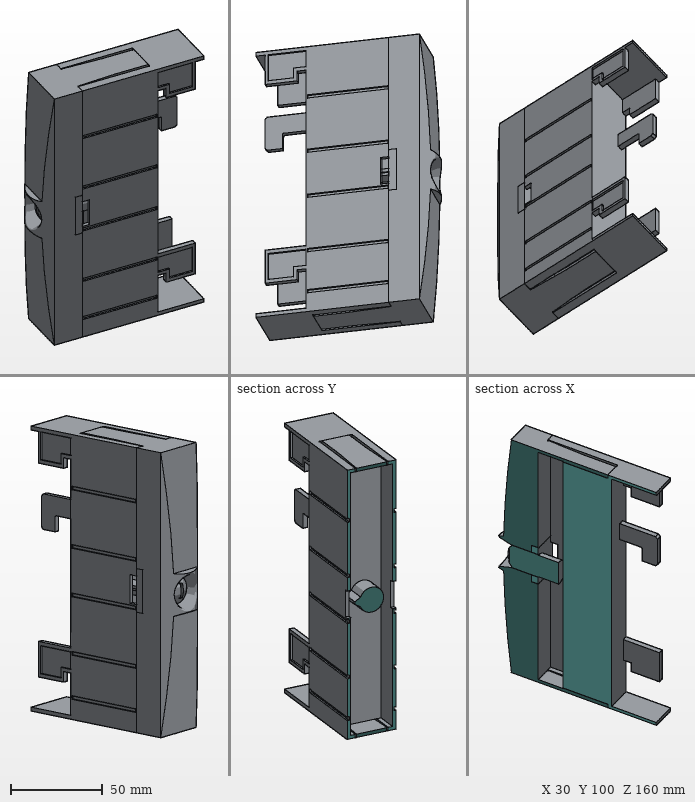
import cadquery as cq
import math


WIDTH = 30.0
HEIGHT = 160.0
TOTAL_DEPTH = 100.0
REAR_Y = 74.7
TIP_Y = REAR_Y - TOTAL_DEPTH
HALF_WIDTH = WIDTH / 2
HALF_HEIGHT = HEIGHT / 2

WALL = 2.2
BACK_Y = 46.5
CAVITY_DEPTH = 15.4
SLOT_WIDTH = 20.2
SLOT_LENGTH = 44.0
GROOVE_START_Y = 0.5
GROOVE_END_Y = 45.8
GROOVE_HEIGHT = 2.0
GROOVE_DEPTH = 1.1
GROOVE_CENTRES_Z = [50.0, 17.1, -10.0, -42.9, -67.7]
WINDOW_LENGTH = 4.5
WINDOW_HEIGHT = 16.0

HOOK_TOPS_Z = [HALF_HEIGHT, -40.0]
HOOK_REACH_Y = 69.5
HOOK_STEP_Y = 51.5
HOOK_HEIGHT = 20.0
HOOK_NECK_HEIGHT = 14.0
HOOK_THICKNESS = 3.0
HOOK_BORDER = 2.0
HOOK_REAR_BORDER = 1.6
HOOK_RECESS_DEPTH = 1.1

FOOT_OUTER_X = -11.2
FOOT_THICKNESS = 3.0
FOOT_TOP_Z = 42.0
FOOT_BOTTOM_Z = 22.0
FOOT_NECK_Z = 31.2
FOOT_REACH_Y = 70.5
FOOT_STEP_Y = 60.8
FOOT_CHAMFER = 1.3
FOOT_INNER_RADIUS = 0.8

COVER_EDGE_Y = -17.3
FLAT_MIDDLE_Y = -20.6
FLAT_MIDDLE_Z = 45.6
FLAT_END_Y = -22.2
FLAT_END_Z = 12.0
BAND_TIP_Z = 11.0
TONGUE_TIP_WIDTH = 16.8
TONGUE_ROOT_WIDTH = 19.2
TONGUE_STRAIGHT_Y = 24.0

SCREW_DIAMETER = 15.0
SCREW_END_Y = 12.8
HEAD_RIM_Y = -16.8
DOME_HEIGHT = 3.2
DRIVE_SLOT_WIDTH = 2.0
DRIVE_SLOT_LENGTH = 8.3
DRIVE_SLOT_DEPTH = 1.6
LUG_START_Y = 1.1
LUG_BASE_HEIGHT = 6.0
LUG_TIP_HEIGHT = 1.6
LUG_REACH = 10.4
FUNNEL_DIAMETER = 20.0
FUNNEL_EDGE_RADIUS = 1.0

RETAINER_THICKNESS = 4.3
RETAINER_HEIGHT = 24.5


def block(x0, x1, y0, y1, z0, z1):
    """Box between two opposite corners."""
    return cq.Workplane("XY").box(x1 - x0, y1 - y0, z1 - z0, centered=False).translate((x0, y0, z0))


def centred_block(width, y0, y1, height):
    """Box centred on X and Z."""
    return block(-width / 2, width / 2, y0, y1, -height / 2, height / 2)


def y_cylinder(diameter, y0, y1):
    """Cylinder on the screw axis."""
    return cq.Workplane("XZ", origin=(0, y0, 0)).circle(diameter / 2).extrude(y0 - y1)


def side_plate(points, x0, thickness):
    """Plate with a (Y, Z) outline that runs from x0 towards +X."""
    return cq.Workplane("YZ", origin=(x0, 0, 0)).polyline(points).close().extrude(thickness)


def hook(top_z):
    """Hook on the -X side, with the recess in its outer face."""
    bottom_z = top_z - HOOK_HEIGHT
    neck_z = top_z - HOOK_NECK_HEIGHT
    outline = [
        (BACK_Y, top_z),
        (HOOK_REACH_Y, top_z),
        (HOOK_REACH_Y, bottom_z),
        (HOOK_STEP_Y, bottom_z),
        (HOOK_STEP_Y, neck_z),
        (BACK_Y, neck_z),
    ]
    recess_rear_y = HOOK_REACH_Y - HOOK_REAR_BORDER
    recess_step_y = HOOK_STEP_Y + HOOK_BORDER
    recess_outline = [
        (BACK_Y, top_z - WALL),
        (recess_rear_y, top_z - WALL),
        (recess_rear_y, bottom_z + HOOK_BORDER),
        (recess_step_y, bottom_z + HOOK_BORDER),
        (recess_step_y, neck_z + HOOK_BORDER),
        (BACK_Y, neck_z + HOOK_BORDER),
    ]
    plate = side_plate(outline, -HALF_WIDTH, HOOK_THICKNESS)
    return plate.cut(side_plate(recess_outline, -HALF_WIDTH, HOOK_RECESS_DEPTH))


def make_housing():
    body = centred_block(WIDTH, 0, REAR_Y, HEIGHT)
    body = body.cut(centred_block(WIDTH, BACK_Y, REAR_Y, HEIGHT - 2 * WALL))
    body = body.cut(centred_block(WIDTH - 2 * WALL, 0, CAVITY_DEPTH, HEIGHT - 2 * WALL))
    for z0 in (HALF_HEIGHT - WALL, -HALF_HEIGHT):
        body = body.cut(block(-SLOT_WIDTH / 2, SLOT_WIDTH / 2, 0, SLOT_LENGTH, z0, z0 + WALL))
    for top_z in HOOK_TOPS_Z:
        left_hook = hook(top_z)
        body = body.union(left_hook).union(left_hook.mirror("YZ"))
    for z in GROOVE_CENTRES_Z:
        groove = block(
            -HALF_WIDTH, GROOVE_DEPTH - HALF_WIDTH,
            GROOVE_START_Y, GROOVE_END_Y,
            z - GROOVE_HEIGHT / 2, z + GROOVE_HEIGHT / 2,
        )
        body = body.cut(groove).cut(groove.mirror("YZ"))
    return body.cut(centred_block(WIDTH, 0, WINDOW_LENGTH, WINDOW_HEIGHT))


def make_foot():
    outline = [
        (BACK_Y, FOOT_TOP_Z),
        (FOOT_REACH_Y, FOOT_TOP_Z),
        (FOOT_REACH_Y, FOOT_BOTTOM_Z),
        (FOOT_STEP_Y, FOOT_BOTTOM_Z),
        (FOOT_STEP_Y, FOOT_NECK_Z),
        (BACK_Y, FOOT_NECK_Z),
    ]
    foot = side_plate(outline, FOOT_OUTER_X, FOOT_THICKNESS)
    foot = foot.faces(">Y").edges("|X").chamfer(FOOT_CHAMFER)
    inner_corner = cq.selectors.NearestToPointSelector((FOOT_OUTER_X, FOOT_STEP_Y, FOOT_NECK_Z))
    return foot.edges("|X").edges(inner_corner).fillet(FOOT_INNER_RADIUS)


def rounded_bar():
    """Bar along Z with the rounded front of the cover."""
    return (
        cq.Workplane("XY", origin=(0, 0, -HALF_HEIGHT))
        .moveTo(-HALF_WIDTH, 0)
        .lineTo(-HALF_WIDTH, COVER_EDGE_Y)
        .threePointArc((0, TIP_Y), (HALF_WIDTH, COVER_EDGE_Y))
        .lineTo(HALF_WIDTH, 0)
        .close()
        .extrude(HEIGHT)
    )


def tongue():
    """Tongue at the top of the cover, tapering from its root to a straight tip."""
    tip = TONGUE_TIP_WIDTH / 2
    root = TONGUE_ROOT_WIDTH / 2
    outline = [
        (-root, 0),
        (-tip, TONGUE_STRAIGHT_Y),
        (-tip, SLOT_LENGTH),
        (tip, SLOT_LENGTH),
        (tip, TONGUE_STRAIGHT_Y),
        (root, 0),
    ]
    base_z = HALF_HEIGHT - WALL
    return cq.Workplane("XY", origin=(0, 0, base_z)).polyline(outline).close().extrude(WALL)


def funnel():
    """Cone around the screw head, widening to the funnel diameter at the tip."""
    return (
        cq.Workplane("XZ", origin=(0, HEAD_RIM_Y, 0))
        .circle(SCREW_DIAMETER / 2)
        .workplane(offset=HEAD_RIM_Y - TIP_Y)
        .circle(FUNNEL_DIAMETER / 2)
        .loft()
    )


def make_cover():
    side_profile = (
        cq.Workplane("YZ", origin=(-HALF_WIDTH, 0, 0))
        .moveTo(0, -HALF_HEIGHT)
        .lineTo(COVER_EDGE_Y, -HALF_HEIGHT)
        .threePointArc((FLAT_MIDDLE_Y, -FLAT_MIDDLE_Z), (FLAT_END_Y, -FLAT_END_Z))
        .lineTo(TIP_Y, -BAND_TIP_Z)
        .lineTo(TIP_Y, BAND_TIP_Z)
        .lineTo(FLAT_END_Y, FLAT_END_Z)
        .threePointArc((FLAT_MIDDLE_Y, FLAT_MIDDLE_Z), (COVER_EDGE_Y, HALF_HEIGHT))
        .lineTo(0, HALF_HEIGHT)
        .close()
        .extrude(WIDTH)
    )
    cover = rounded_bar().intersect(side_profile)
    cover = cover.cut(funnel())
    mouth = cq.selectors.BoxSelector(
        (-HALF_WIDTH, TIP_Y, -FUNNEL_DIAMETER / 2),
        (HALF_WIDTH, COVER_EDGE_Y, FUNNEL_DIAMETER / 2),
    )
    cover = cover.edges(mouth).edges("not %LINE").fillet(FUNNEL_EDGE_RADIUS)
    cover = cover.cut(y_cylinder(SCREW_DIAMETER, HEAD_RIM_Y, 0))
    cover = cover.cut(centred_block(WIDTH, -RETAINER_THICKNESS, 0, RETAINER_HEIGHT))
    top_tongue = tongue()
    return cover.union(top_tongue).union(top_tongue.mirror("XY"))


def make_retainer():
    plate = centred_block(WIDTH, -RETAINER_THICKNESS, 0, RETAINER_HEIGHT)
    return plate.cut(y_cylinder(SCREW_DIAMETER, -RETAINER_THICKNESS, 0))


def make_screw():
    radius = SCREW_DIAMETER / 2
    apex_y = HEAD_RIM_Y - DOME_HEIGHT
    dome_radius = (radius**2 + DOME_HEIGHT**2) / (2 * DOME_HEIGHT)
    half_angle = math.asin(radius / dome_radius) / 2
    dome_middle_x = dome_radius * math.sin(half_angle)
    dome_middle_y = apex_y + dome_radius * (1 - math.cos(half_angle))
    screw = (
        cq.Workplane("XY")
        .moveTo(0, SCREW_END_Y)
        .lineTo(radius, SCREW_END_Y)
        .lineTo(radius, HEAD_RIM_Y)
        .threePointArc((dome_middle_x, dome_middle_y), (0, apex_y))
        .close()
        .revolve(360, (0, 0, 0), (0, 1, 0))
    )
    slot_floor_y = apex_y + DRIVE_SLOT_DEPTH
    screw = screw.cut(centred_block(DRIVE_SLOT_WIDTH, apex_y, slot_floor_y, DRIVE_SLOT_LENGTH))
    base = LUG_BASE_HEIGHT / 2
    tip = LUG_TIP_HEIGHT / 2
    base_x = -math.sqrt(radius**2 - base**2)
    lug_outline = [
        (0, base),
        (base_x, base),
        (-LUG_REACH, tip),
        (-LUG_REACH, -tip),
        (base_x, -base),
        (0, -base),
    ]
    lug = (
        cq.Workplane("XZ", origin=(0, SCREW_END_Y, 0))
        .polyline(lug_outline)
        .close()
        .extrude(SCREW_END_Y - LUG_START_Y)
    )
    return screw.union(lug)


housing = make_housing()
foot = make_foot()
cover = make_cover()
retainer = make_retainer()
screw = make_screw()

result = cq.Compound.makeCompound(
    [housing.val(), foot.val(), cover.val(), retainer.val(), screw.val()]
)